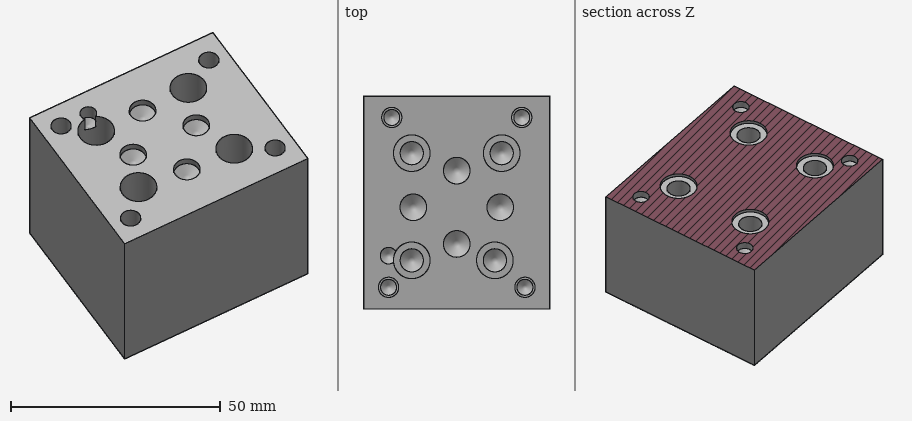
import cadquery as cq
import math

WIDTH = 44.45
LENGTH = 50.8
HEIGHT = 44.45

DRILL_POINT_ANGLE = 118.0

PATTERN_Y = 0.05

MOUNT_PITCH_Y = 40.5
MOUNT_REAR_PITCH_X = 31.0
MOUNT_FRONT_PITCH_X = 32.5
THREAD_DIAMETER = 4.85
THREAD_DEPTH = 12.7
TAP_DRILL_DIAMETER = 3.8
TAP_DRILL_DEPTH = 16.25

PORT_DIAMETER = 6.35
PORT_DEPTH = 1.85
PORT_CENTRE_Y = PATTERN_Y - 1.15
PORT_PITCH_X = 20.75
PORT_PITCH_Y = 17.5

BORE_DIAMETER = 8.75
BORE_DEPTH = 15.25
BORE_DRILL_DIAMETER = 5.55
BORE_DRILL_DEPTH = 22.85
BORE_X = 10.7
BORE_FRONT_RIGHT_X = 9.1
BORE_REAR_Y = 11.8
BORE_FRONT_Y = -13.75

PIN_DIAMETER = 3.95
PIN_DEPTH = 4.05
PIN_X = -MOUNT_FRONT_PITCH_X / 2
PIN_Y = PATTERN_Y - 12.7


def bore(x, y, diameter, depth):
    """Flat-bottomed cylinder sunk into the top face."""
    return cq.Workplane("XY", origin=(x, y, HEIGHT - depth)).circle(diameter / 2).extrude(depth)


def drilled_hole(x, y, diameter, depth):
    """Hole sunk to depth at full diameter, with a conical drill point below."""
    radius = diameter / 2
    point_length = radius / math.tan(math.radians(DRILL_POINT_ANGLE / 2))
    floor = HEIGHT - depth
    profile = (
        cq.Workplane("XZ", origin=(x, y, 0))
        .moveTo(0, HEIGHT)
        .lineTo(radius, HEIGHT)
        .lineTo(radius, floor)
        .lineTo(0, floor - point_length)
        .close()
    )
    return profile.revolve(360, (0, 0, 0), (0, 1, 0))


def stepped_hole(x, y, upper_diameter, upper_depth, drill_diameter, drill_depth):
    """Wide upper bore above a narrower drilled hole on the same axis."""
    upper = bore(x, y, upper_diameter, upper_depth)
    return upper.union(drilled_hole(x, y, drill_diameter, drill_depth))


mount_rear_y = PATTERN_Y + MOUNT_PITCH_Y / 2
mount_front_y = PATTERN_Y - MOUNT_PITCH_Y / 2
mount_points = [
    (-MOUNT_REAR_PITCH_X / 2, mount_rear_y),
    (MOUNT_REAR_PITCH_X / 2, mount_rear_y),
    (-MOUNT_FRONT_PITCH_X / 2, mount_front_y),
    (MOUNT_FRONT_PITCH_X / 2, mount_front_y),
]

port_points = [
    (-PORT_PITCH_X / 2, PORT_CENTRE_Y),
    (PORT_PITCH_X / 2, PORT_CENTRE_Y),
    (0, PORT_CENTRE_Y - PORT_PITCH_Y / 2),
    (0, PORT_CENTRE_Y + PORT_PITCH_Y / 2),
]

bore_points = [
    (-BORE_X, BORE_REAR_Y),
    (BORE_X, BORE_REAR_Y),
    (-BORE_X, BORE_FRONT_Y),
    (BORE_FRONT_RIGHT_X, BORE_FRONT_Y),
]

result = cq.Workplane("XY").box(WIDTH, LENGTH, HEIGHT, centered=(True, True, False))

for x, y in mount_points:
    result = result.cut(stepped_hole(x, y, THREAD_DIAMETER, THREAD_DEPTH, TAP_DRILL_DIAMETER, TAP_DRILL_DEPTH))

for x, y in port_points:
    result = result.cut(drilled_hole(x, y, PORT_DIAMETER, PORT_DEPTH))

for x, y in bore_points:
    result = result.cut(stepped_hole(x, y, BORE_DIAMETER, BORE_DEPTH, BORE_DRILL_DIAMETER, BORE_DRILL_DEPTH))

result = result.cut(drilled_hole(PIN_X, PIN_Y, PIN_DIAMETER, PIN_DEPTH))